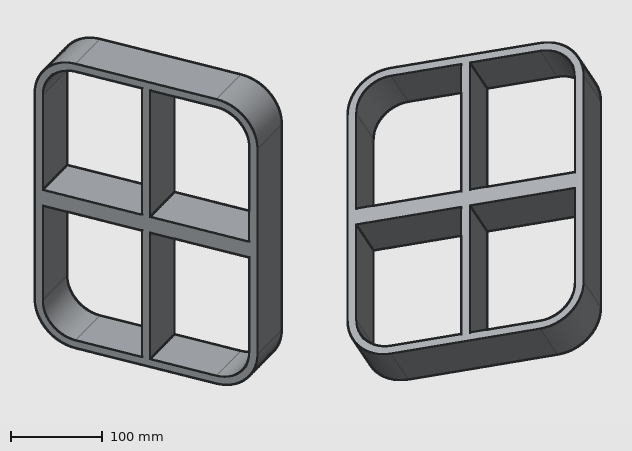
import cadquery as cq

height = 359.0
width = 271.0
depth = 60.0
wall = 10.0
corner_radius = 50.0
upright = 10.0
shelf = 20.0

inner_width = width - 2 * wall
inner_height = height - 2 * wall
inner_radius = corner_radius - wall


def rounded_block(size_x, size_z, radius):
    """Centred block with its four edges along Y rounded."""
    return cq.Workplane("XY").box(size_x, depth, size_z).edges("|Y").fillet(radius)


opening = rounded_block(inner_width, inner_height, inner_radius)
rim = rounded_block(width, height, corner_radius).cut(opening)

vertical_divider = cq.Workplane("XY").box(upright, depth, height - wall)
horizontal_divider = cq.Workplane("XY").box(width - wall, depth, shelf)

result = rim.union(vertical_divider).union(horizontal_divider)